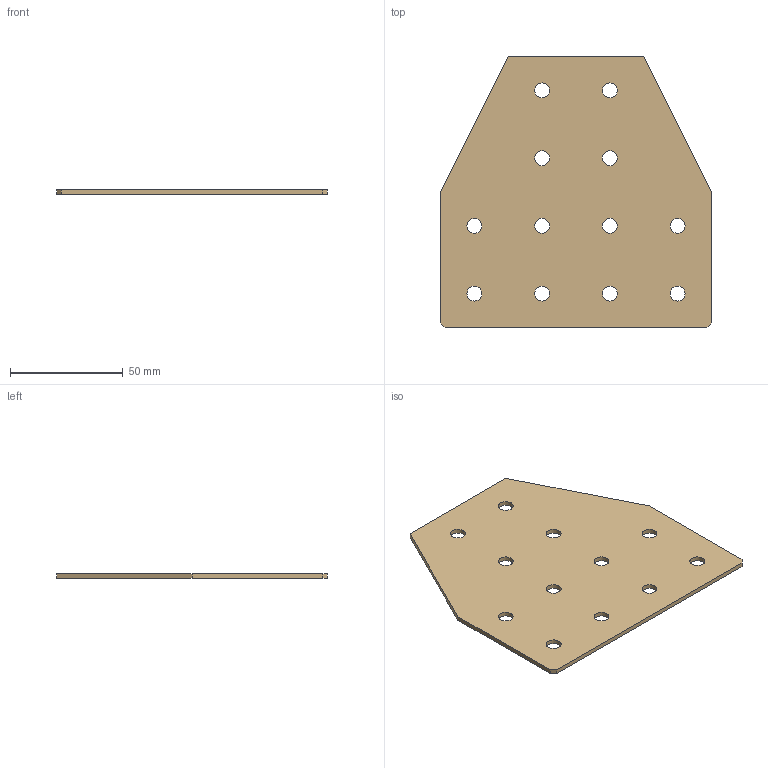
import cadquery as cq

grid_pitch = 30.0
columns = 4
rows = 4
thickness = 2.0
hole_diameter = 6.6
corner_chamfer = 2.0

width = columns * grid_pitch
depth = rows * grid_pitch
half_width = width / 2
half_depth = depth / 2
neck_half_width = half_width / 2
shoulder_y = 0.0


def tee_plate():
    """Plate with a full-width base, tapering to a narrower top edge."""
    outline = [
        (-half_width, -half_depth),
        (half_width, -half_depth),
        (half_width, shoulder_y),
        (neck_half_width, half_depth),
        (-neck_half_width, half_depth),
        (-half_width, shoulder_y),
    ]
    plate = cq.Workplane("XY").polyline(outline).close().extrude(thickness)
    bottom_corners = plate.faces("<Y").edges("|Z")
    return bottom_corners.chamfer(corner_chamfer)


def hole_centers():
    """Grid points: all columns in the base, the inner two in the neck."""
    centers = []
    for row in range(rows):
        y = (row + 0.5) * grid_pitch - half_depth
        for column in range(columns):
            x = (column + 0.5) * grid_pitch - half_width
            in_base = y < shoulder_y
            in_neck = abs(x) < neck_half_width
            if in_base or in_neck:
                centers.append((x, y))
    return centers


result = (
    tee_plate()
    .faces(">Z")
    .workplane(origin=(0, 0, thickness))
    .pushPoints(hole_centers())
    .hole(hole_diameter)
)